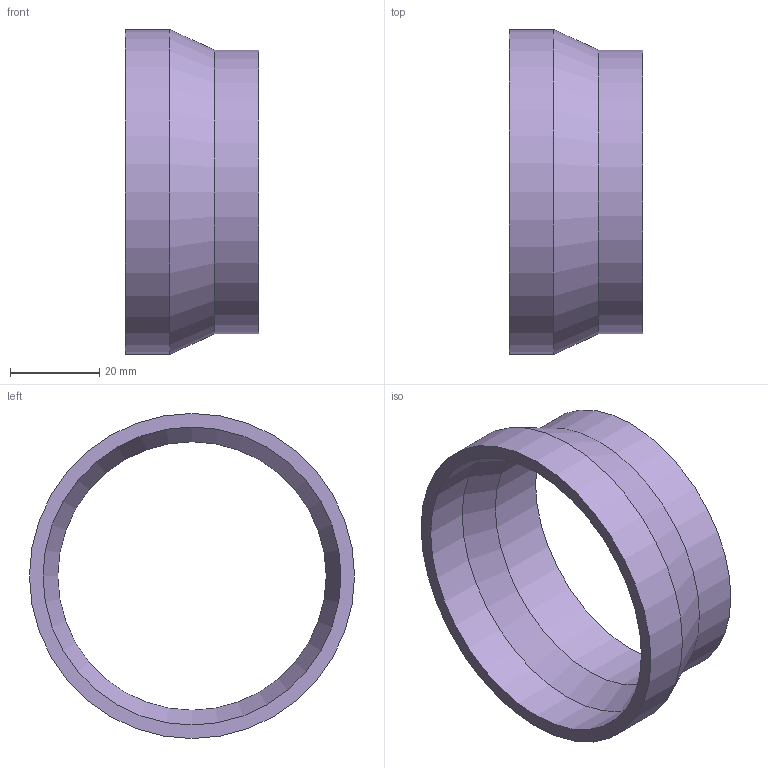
import cadquery as cq

total_length = 30.0
large_collar_length = 10.0
cone_length = 10.0
large_outer_diameter = 73.03
small_outer_diameter = 63.8

large_bore_diameter = 66.95
small_bore_diameter = 60.3

taper = (large_outer_diameter - small_outer_diameter) / cone_length
bore_cone_length = (large_bore_diameter - small_bore_diameter) / taper


def reducer_solid(large_diameter, small_diameter, transition_length):
    """Solid of revolution about X with the large end at X = 0."""
    large_radius = large_diameter / 2
    small_radius = small_diameter / 2
    cone_end = large_collar_length + transition_length
    profile = [
        (0, 0),
        (0, large_radius),
        (large_collar_length, large_radius),
        (cone_end, small_radius),
        (total_length, small_radius),
        (total_length, 0),
    ]
    return (
        cq.Workplane("XY")
        .polyline(profile)
        .close()
        .revolve(360, (0, 0, 0), (1, 0, 0))
    )


outer_body = reducer_solid(large_outer_diameter, small_outer_diameter, cone_length)
bore = reducer_solid(large_bore_diameter, small_bore_diameter, bore_cone_length)

result = outer_body.cut(bore)